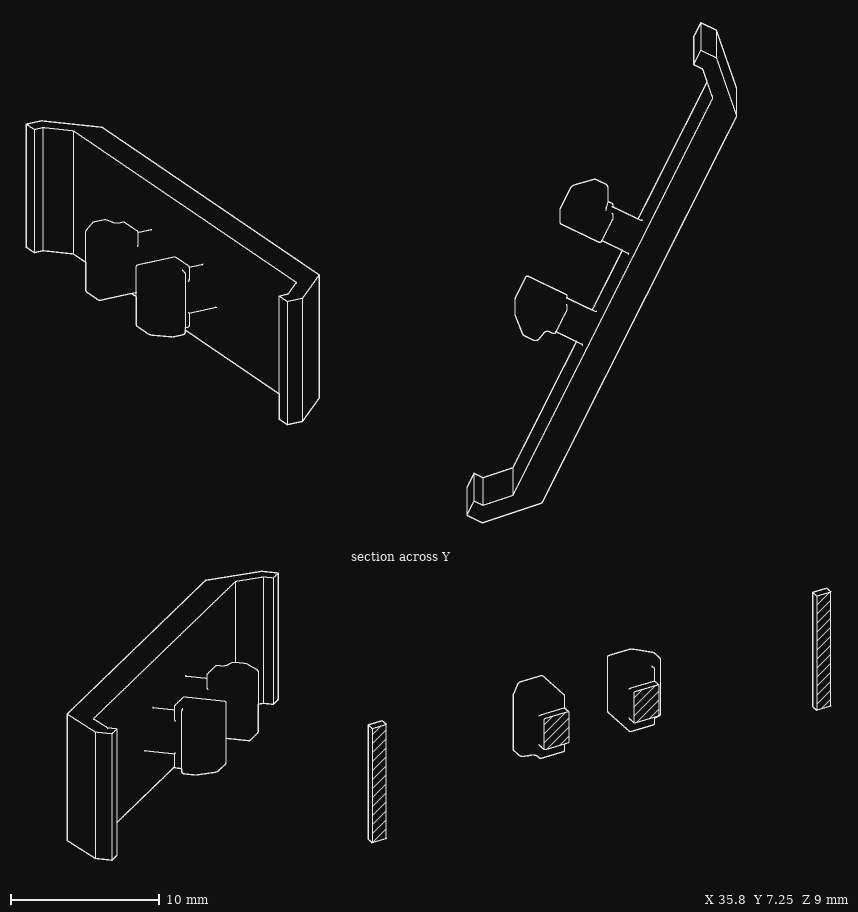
import cadquery as cq

length = 35.75
height = 9.0
plate_thickness = 2.0
end_depth = 4.2
lip_width = 1.1
outer_bevel = 3.0
inner_bevel = 1.5

overall_depth = 7.25
stem_inner_x = 2.5
stem_width = 2.0
stem_height = 2.5
head_height = 4.5
head_start = 4.15
hook_reach = 1.0
shoulder_depth = 4.8
shoulder_slope = 0.2
hook_bevel_depth = 6.05
tip_width = 1.9

edge_radius = 0.15
hook_radius = 0.32
tip_radius = 0.5
root_radius = 0.1

half_length = length / 2
stem_outer_x = stem_inner_x + stem_width
hook_outer_x = stem_outer_x + hook_reach


def make_plate():
    lip_inner_x = half_length - lip_width
    half_outline = [
        (half_length - outer_bevel, 0),
        (half_length, -outer_bevel),
        (half_length, -end_depth),
        (lip_inner_x, -end_depth),
        (lip_inner_x, -plate_thickness - inner_bevel),
        (lip_inner_x - inner_bevel, -plate_thickness),
    ]
    mirrored = [(-x, y) for x, y in reversed(half_outline)]
    outline = cq.Workplane("XY").polyline(half_outline + mirrored).close()
    return outline.extrude(height / 2, both=True)


def make_head():
    back_inner = (stem_inner_x, -head_start)
    back_outer = (stem_outer_x, -head_start)
    neck = (stem_outer_x, -shoulder_depth)
    hook_back = (hook_outer_x, -shoulder_depth - shoulder_slope)
    hook_front = (hook_outer_x, -hook_bevel_depth)
    tip_outer = (stem_inner_x + tip_width, -overall_depth)
    tip_inner = (stem_inner_x, -overall_depth)
    outline = [back_inner, back_outer, neck, hook_back, hook_front, tip_outer, tip_inner]
    head = cq.Workplane("XY").polyline(outline).close().extrude(head_height / 2, both=True)

    corner_radii = [
        (back_inner, edge_radius),
        (back_outer, edge_radius),
        (neck, hook_radius),
        (hook_back, hook_radius),
        (hook_front, edge_radius),
        (tip_outer, tip_radius),
        (tip_inner, edge_radius),
    ]
    for (x, y), radius in corner_radii:
        corner = cq.selectors.NearestToPointSelector((x, y, 0))
        head = head.edges("|Z").edges(corner).fillet(radius)
    return head.faces("|Z").edges().fillet(edge_radius)


def make_stem():
    stem_end = head_start + 2 * edge_radius
    stem_length = stem_end - plate_thickness
    stem = cq.Workplane("XY").box(stem_width, stem_length, stem_height, centered=(False, False, True))
    stem = stem.translate((stem_inner_x, -stem_end, 0))
    return stem.edges("|Y").fillet(edge_radius)


def round_root(part, side):
    half_box = root_radius / 2
    root = cq.selectors.BoxSelector(
        (side * (stem_inner_x - half_box), -plate_thickness - half_box, -stem_height),
        (side * (stem_outer_x + half_box), -plate_thickness + half_box, stem_height),
    )
    return part.edges(root).fillet(root_radius)


clip = make_head().union(make_stem())
result = make_plate().union(clip).union(clip.mirror("YZ"))
for side in (-1, 1):
    result = round_root(result, side)